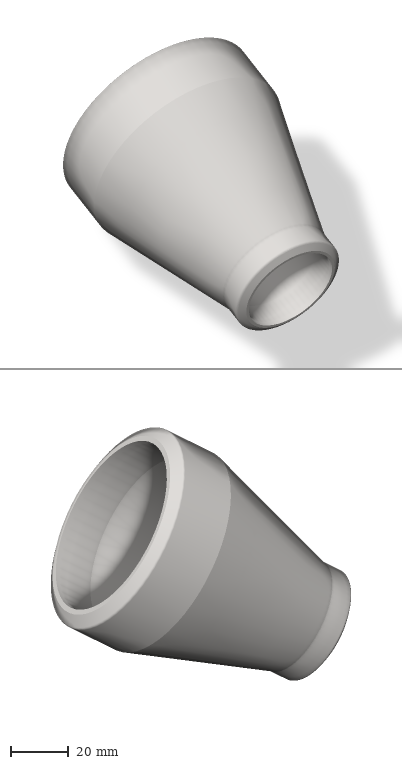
import cadquery as cq
import math

length = 90.0
large_outer_radius = 76.1 / 2
large_bore_radius = 63.5 / 2
small_outer_radius = 42.0 / 2
small_bore_radius = 34.0 / 2

large_outer_straight = 23.0
large_bore_straight = 15.0
small_straight = 10.0

large_root_face = 1.9
small_root_face = 1.1
bevel_angle = math.radians(30)
edge_radius = 1.0


def bevel_length(outer_radius, bore_radius, root_face):
    """Axial length of a bevel from the root face to the outside surface."""
    return (outer_radius - bore_radius - root_face) * math.tan(bevel_angle)


large_bevel = bevel_length(large_outer_radius, large_bore_radius, large_root_face)
small_bevel = bevel_length(small_outer_radius, small_bore_radius, small_root_face)
neck_x = length - small_straight

section = (
    cq.Workplane("XZ")
    .moveTo(0, large_bore_radius)
    .lineTo(0, large_bore_radius + large_root_face)
    .lineTo(large_bevel, large_outer_radius)
    .lineTo(large_outer_straight, large_outer_radius)
    .lineTo(neck_x, small_outer_radius)
    .lineTo(length - small_bevel, small_outer_radius)
    .lineTo(length, small_bore_radius + small_root_face)
    .lineTo(length, small_bore_radius)
    .lineTo(neck_x, small_bore_radius)
    .lineTo(large_bore_straight, large_bore_radius)
    .close()
)
reducer = section.revolve(360, (0, 0, 0), (1, 0, 0))


def rim(x, radius):
    """Selector for the circular edge at the given place along the axis."""
    reach = radius + 0.9
    margin = 0.1
    return cq.selectors.BoxSelector(
        (x - margin, -reach, -reach), (x + margin, reach, reach), boundingbox=True
    )


rounded_rims = (
    rim(large_bevel, large_outer_radius)
    + rim(length - small_bevel, small_outer_radius)
    + (rim(neck_x, small_outer_radius) - rim(neck_x, small_bore_radius))
)
result = reducer.edges(rounded_rims).fillet(edge_radius)